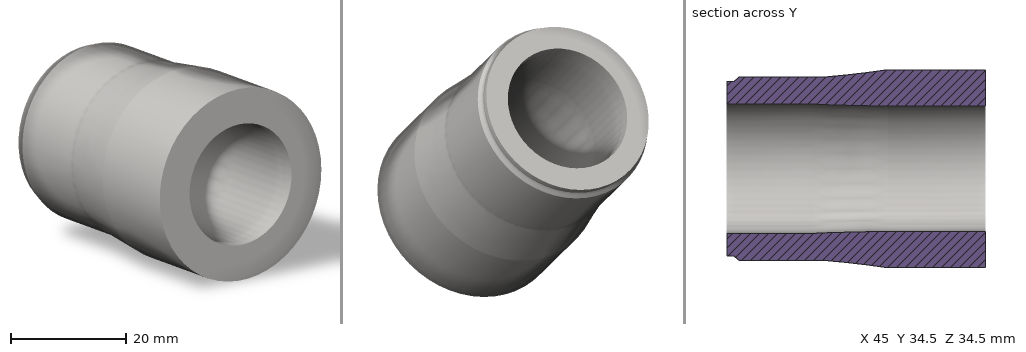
import cadquery as cq

length = 45.0
large_diameter = 34.5
large_radius = large_diameter / 2
small_radius = 15.98
nose_radius = 15.25

bore_entry_radius = 11.2
bore_exit_radius = 10.9

nose_end = 1.3
chamfer_end = 2.15
taper_start = 16.95
taper_end = 28.05
bore_taper_start = 14.85

section = (
    cq.Workplane("XY")
    .moveTo(0, bore_entry_radius)
    .lineTo(0, nose_radius)
    .lineTo(nose_end, nose_radius)
    .lineTo(chamfer_end, small_radius)
    .lineTo(taper_start, small_radius)
    .lineTo(taper_end, large_radius)
    .lineTo(length, large_radius)
    .lineTo(length, bore_exit_radius)
    .lineTo(taper_end, bore_exit_radius)
    .lineTo(bore_taper_start, bore_entry_radius)
    .close()
)

axis_start = (0, 0, 0)
axis_end = (1, 0, 0)
result = section.revolve(360, axis_start, axis_end)